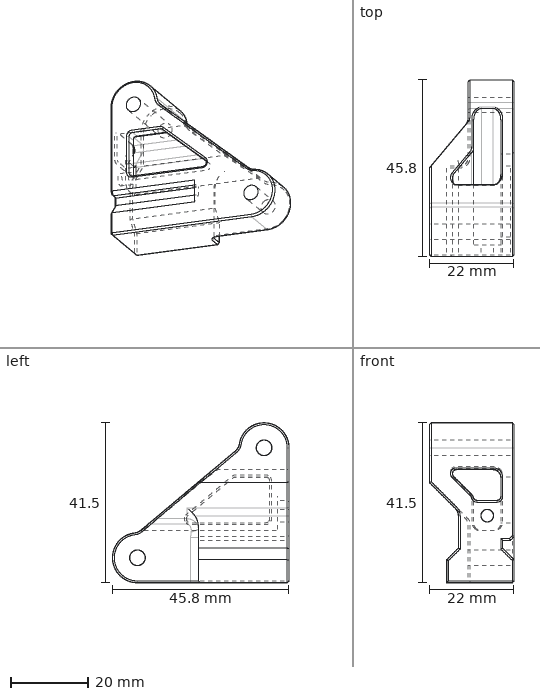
import cadquery as cq
import math

LENGTH = 45.8
WIDTH = 22.0
HEIGHT = 41.5
FRONT = -LENGTH / 2
BACK = LENGTH / 2
SIDE = WIDTH / 2

EAR_RADIUS = 6.5
EAR_HOLE = 4.0
HIGH_EAR = (FRONT + EAR_RADIUS, HEIGHT - EAR_RADIUS)
LOW_EAR = (BACK - EAR_RADIUS, EAR_RADIUS)
SLOPE_ANGLE = math.radians(40.0)
SLOPE_OFFSET = 4.9
SLOPE_NORMAL = math.pi / 2 - SLOPE_ANGLE

BIG_FILLET = 2.98
FILLET = 2.0
SMALL_FILLET = 1.0
CHAMFER = 0.5

FOOT_SIDE = -6.5
FOOT_HEIGHT = 6.0
WAIST_SIDE = -3.5
OVERHANG_SUM = 15.0

LOW_EAR_SIDE = -1.0
STEP_Y = 0.6

NOTCH_BOTTOM = 8.0
NOTCH_TOP = 11.0
NOTCH_LIP = 1.0

FRONT_WALL = 2.98
POCKET_LEFT = 0.5
POCKET_RIGHT = 7.5
POCKET_FLOOR = 13.5
POCKET_TOP = 29.3
POCKET_SUM = 22.9
FLARE_OVERLAP = 0.25

WINDOW_SILL = 21.4
FRONT_HOLE = 3.2
FRONT_HOLE_Z = 17.4

OPENING_FRONT = -17.8
OPENING_BACK = 5.5
OPENING_BOTTOM = 15.55
OPENING_TOP = 27.47

BEYOND = 4.6
TOLERANCE = 0.005


def point_from(origin, angle, distance):
    """Point at a distance from the origin, in the direction of an angle in radians."""
    return (origin[0] + distance * math.cos(angle), origin[1] + distance * math.sin(angle))


def along_y(points, start, end):
    """Prism of an XZ polygon between two Y positions."""
    return cq.Workplane("XZ", origin=(0, start, 0)).polyline(points).close().extrude(start - end)


def edges_at(solid, x, z):
    """Edges along Y that pass through (x, z)."""

    def passes_through(edge):
        centre = edge.Center()
        return math.hypot(centre.x - x, centre.z - z) < TOLERANCE

    return solid.edges("|Y").filter(passes_through)


def side_outline():
    """Solid with the side outline in YZ, over the full width."""
    high_offset = (
        SLOPE_OFFSET
        - (HIGH_EAR[0] - LOW_EAR[0]) * math.cos(SLOPE_NORMAL)
        - (HIGH_EAR[1] - LOW_EAR[1]) * math.sin(SLOPE_NORMAL)
    )
    blend_reach = EAR_RADIUS + BIG_FILLET
    low_tilt = math.acos((SLOPE_OFFSET + BIG_FILLET) / blend_reach)
    high_tilt = math.acos((high_offset + BIG_FILLET) / blend_reach)
    low_blend = point_from(LOW_EAR, SLOPE_NORMAL + low_tilt, blend_reach)
    high_blend = point_from(HIGH_EAR, SLOPE_NORMAL - high_tilt, blend_reach)
    toward_slope = SLOPE_NORMAL + math.pi
    return (
        cq.Workplane("YZ", origin=(-SIDE, 0, 0))
        .moveTo(FRONT, 0)
        .lineTo(LOW_EAR[0], 0)
        .threePointArc(
            point_from(LOW_EAR, 0, EAR_RADIUS),
            point_from(LOW_EAR, SLOPE_NORMAL + low_tilt, EAR_RADIUS),
        )
        .threePointArc(
            point_from(low_blend, toward_slope + low_tilt / 2, BIG_FILLET),
            point_from(low_blend, toward_slope, BIG_FILLET),
        )
        .lineTo(*point_from(high_blend, toward_slope, BIG_FILLET))
        .threePointArc(
            point_from(high_blend, toward_slope - high_tilt / 2, BIG_FILLET),
            point_from(HIGH_EAR, SLOPE_NORMAL - high_tilt, EAR_RADIUS),
        )
        .threePointArc(point_from(HIGH_EAR, math.pi / 2, EAR_RADIUS), (FRONT, HIGH_EAR[1]))
        .close()
        .extrude(WIDTH)
    )


def front_outline():
    """Solid with the front outline in XZ, over the full length."""
    waist_top = OVERHANG_SUM - WAIST_SIDE
    block = along_y(
        [
            (SIDE, 0),
            (FOOT_SIDE, 0),
            (FOOT_SIDE, FOOT_HEIGHT),
            (WAIST_SIDE, FOOT_HEIGHT + WAIST_SIDE - FOOT_SIDE),
            (WAIST_SIDE, waist_top),
            (-SIDE, OVERHANG_SUM + SIDE),
            (-SIDE, HEIGHT),
            (SIDE, HEIGHT),
        ],
        FRONT,
        BACK,
    )
    return edges_at(block, WAIST_SIDE, waist_top).fillet(BIG_FILLET)


def low_ear_relief():
    """Cutter that thins the low ear, rounded where its faces meet."""
    outside = -SIDE - BEYOND
    cutter = along_y(
        [
            (outside, -BEYOND),
            (LOW_EAR_SIDE, -BEYOND),
            (LOW_EAR_SIDE, OVERHANG_SUM - LOW_EAR_SIDE),
            (outside, OVERHANG_SUM - outside),
        ],
        STEP_Y,
        BACK + BEYOND,
    )
    cutter = cutter.faces("<Y").edges("not(|X or |Z)").fillet(BIG_FILLET)
    return cutter.faces(">X").edges(">Z").fillet(FILLET)


def notch():
    """Cutter for the clamping notch: a 45 degree lower side and a lip at the top."""
    slope_run = SIDE - NOTCH_BOTTOM
    return along_y(
        [
            (SIDE, FOOT_HEIGHT),
            (NOTCH_BOTTOM, FOOT_HEIGHT + slope_run),
            (NOTCH_BOTTOM, NOTCH_TOP),
            (SIDE - NOTCH_LIP, NOTCH_TOP),
            (SIDE, NOTCH_TOP + NOTCH_LIP),
        ],
        FRONT,
        STEP_Y,
    )


def pocket_prism(start, end):
    """Pocket cross-section between two Y positions, with only its two large bends rounded."""
    prism = along_y(
        [
            (POCKET_LEFT, POCKET_FLOOR),
            (POCKET_RIGHT, POCKET_FLOOR),
            (POCKET_RIGHT, POCKET_TOP),
            (POCKET_SUM - POCKET_TOP, POCKET_TOP),
            (POCKET_LEFT, POCKET_SUM - POCKET_LEFT),
        ],
        start,
        end,
    )
    prism = edges_at(prism, POCKET_RIGHT, POCKET_TOP).fillet(FILLET)
    return edges_at(prism, POCKET_LEFT, POCKET_SUM - POCKET_LEFT).fillet(FILLET)


def pocket():
    """Cutter for the pocket behind the front wall."""
    prism = pocket_prism(FRONT + FRONT_WALL, BACK)
    for x in (POCKET_LEFT, POCKET_RIGHT):
        prism = edges_at(prism, x, POCKET_FLOOR).fillet(FILLET)
    return edges_at(prism, POCKET_SUM - POCKET_TOP, POCKET_TOP).fillet(SMALL_FILLET)


def window():
    """Cutter through the front wall: the pocket cross-section above the sill."""
    above_sill = (
        cq.Workplane("XY", origin=(0, 0, WINDOW_SILL))
        .box(WIDTH, LENGTH, HEIGHT, centered=(True, True, False))
    )
    prism = pocket_prism(FRONT, FRONT + FRONT_WALL).intersect(above_sill)
    outline = prism.faces("<Y").wires().val()
    shrunk = outline.offset2D(-SMALL_FILLET)[0]
    rounded = shrunk.offset2D(SMALL_FILLET)[0]
    return cq.Workplane(cq.Solid.extrudeLinear(rounded, [], cq.Vector(0, FRONT_WALL, 0)))


def below_slope(rise):
    """Large box under the slope, its top raised by a distance along the slope normal."""
    reach = 2 * LENGTH
    return (
        cq.Workplane("XY")
        .box(reach, reach, reach, centered=(True, True, False))
        .translate((0, 0, -reach))
        .rotate((0, 0, 0), (1, 0, 0), -math.degrees(SLOPE_ANGLE))
        .translate((0, *point_from(LOW_EAR, SLOPE_NORMAL, SLOPE_OFFSET + rise)))
    )


def slope_opening_flare():
    """Cutter for the chamfer where the pocket opens through the slope.

    The chamfer runs between the slope and the pocket walls as if both were set back by CHAMFER.
    Cut parallel to the slope, that is the pocket outline, lifted and growing with the rise.
    """
    outline = pocket().faces("<Y").wires().val()
    lift = cq.Vector(0, 0, CHAMFER * math.cos(SLOPE_ANGLE))
    slope_direction = cq.Vector(0, *point_from((0, 0), SLOPE_NORMAL, 1))
    parallel_to_slope = cq.selectors.ParallelDirSelector(slope_direction)
    sections = []
    for rise in (-CHAMFER - FLARE_OVERLAP, FLARE_OVERLAP):
        section = outline.offset2D(CHAMFER + rise)[0].translate(lift)
        prism = cq.Workplane(cq.Solid.extrudeLinear(section, [], cq.Vector(0, LENGTH, 0)))
        sloped_end = prism.intersect(below_slope(rise)).faces(parallel_to_slope)
        sections.append(sloped_end.wires().val())
    return cq.Workplane(cq.Solid.makeLoft(sections, True))


def side_opening():
    """Cutter through the +X wall of the pocket."""
    slope_run = (OPENING_TOP - OPENING_BOTTOM) / math.tan(SLOPE_ANGLE)
    return (
        cq.Workplane("YZ", origin=(POCKET_RIGHT, 0, 0))
        .polyline(
            [
                (OPENING_FRONT, OPENING_BOTTOM),
                (OPENING_BACK, OPENING_BOTTOM),
                (OPENING_BACK - slope_run, OPENING_TOP),
                (OPENING_FRONT, OPENING_TOP),
            ]
        )
        .close()
        .extrude(SIDE - POCKET_RIGHT)
        .edges("|X")
        .fillet(SMALL_FILLET)
    )


def outline_edges(solid):
    """Edges to chamfer: the rim of the side outline and of the front face, but not the foot's bottom side."""
    rim_walls = cq.Compound.makeCompound(side_outline().faces("not(<X or >X)").vals())

    def on_rim(edge):
        middle = edge.positionAt(0.5)
        if abs(edge.tangentAt(0.5).x) > 0.45 - TOLERANCE:
            return abs(middle.y - FRONT) < TOLERANCE and middle.z < HIGH_EAR[1] - TOLERANCE
        if middle.x < FOOT_SIDE + TOLERANCE and middle.z < TOLERANCE:
            return False
        return rim_walls.distance(cq.Vertex.makeVertex(*middle.toTuple())) < TOLERANCE

    return solid.edges().filter(on_rim)


def front_hole():
    """Cutter for the round hole through the front wall, centred under the window."""
    return (
        cq.Workplane("XZ", origin=(0, FRONT, 0))
        .center((POCKET_LEFT + POCKET_RIGHT) / 2, FRONT_HOLE_Z)
        .circle(FRONT_HOLE / 2)
        .extrude(-FRONT_WALL)
    )


def ear_hole(centre):
    """Cutter for a pin hole across the full width."""
    return cq.Workplane("YZ", origin=(-SIDE, 0, 0)).center(*centre).circle(EAR_HOLE / 2).extrude(WIDTH)


body = side_outline().intersect(front_outline())
body = body.cut(low_ear_relief()).cut(notch()).cut(window())
body = outline_edges(body).chamfer(CHAMFER)

body = body.cut(side_opening())
opening_rim = body.faces(">X").val().innerWires()[0]
body = body.newObject(opening_rim.Edges()).chamfer(CHAMFER)

cutters = [pocket(), slope_opening_flare(), front_hole(), ear_hole(HIGH_EAR), ear_hole(LOW_EAR)]
for cutter in cutters:
    body = body.cut(cutter, clean=False)

result = body